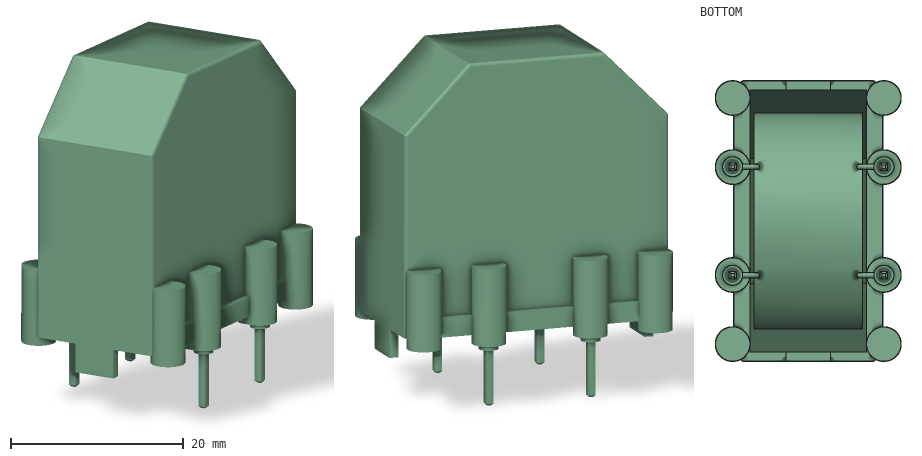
import cadquery as cq


total_height = 40.5
housing_width = 15.65
housing_length = 32.5
housing_height = 32.05
corner_chamfer = 7.95
face_fillet = 0.4
wall = 1.1

post_diameter = 4.0
post_top = 8.15
post_bottom = -1.1
post_x = 8.75
inner_post_y = 6.25
outer_post_y = housing_length / 2 - post_diameter / 2

rail_face_x = 8.63
rail_height = 2.35

foot_width = 5.1
foot_drop = 3.45

lead_diameter = 0.6
terminal_y = 6.28
lead_x = 5.9
lead_bend_radius = 0.32
collar_diameter = 2.3
collar_height = 0.65
pin_side = 0.9
pin_tip_chamfer = 0.25
pin_bottom = housing_height - total_height

ring_outer_diameter = 25.0
ring_inner_diameter = 15.0
ring_width = 12.55
ring_center_z = (housing_height - wall) / 2


def box_between(x_range, y_range, z_range):
    """Axis-aligned box given by its low and high coordinate on each axis."""
    size = [high - low for low, high in (x_range, y_range, z_range)]
    corner = (x_range[0], y_range[0], z_range[0])
    return cq.Workplane("XY").box(*size, centered=False).translate(corner)


def gabled_block(width, length, height):
    """Block standing on Z = 0 whose two upper edges along X are chamfered."""
    block = cq.Workplane("XY").box(width, length, height, centered=(True, True, False))
    return block.edges("|X and >Z").chamfer(corner_chamfer)


def make_shell():
    """Solid outer form of the housing, rounded around its two large faces."""
    block = gabled_block(housing_width, housing_length, housing_height)
    return block.faces("<X or >X").edges("not <Z").fillet(face_fillet)


def make_posts():
    corners = [
        (side * post_x, end * y)
        for side in (-1, 1)
        for end in (-1, 1)
        for y in (inner_post_y, outer_post_y)
    ]
    return (
        cq.Workplane("XY", origin=(0, 0, post_bottom))
        .pushPoints(corners)
        .circle(post_diameter / 2)
        .extrude(post_top - post_bottom)
    )


def make_rails():
    """Bar across the housing whose two ends stand out as the rails."""
    return box_between(
        (-rail_face_x, rail_face_x),
        (-outer_post_y, outer_post_y),
        (0, rail_height),
    )


def make_feet():
    """Downward extensions of the two end walls, as thick as the wall."""
    half_length = housing_length / 2
    half_width = foot_width / 2
    foot = box_between(
        (-half_width, half_width),
        (-half_length, wall - half_length),
        (-foot_drop, wall),
    )
    return foot.union(foot.mirror("XZ"))


def make_housing():
    cavity = gabled_block(
        housing_width - 2 * wall, housing_length - 2 * wall, housing_height - wall
    )
    body = make_shell().union(make_posts()).union(make_rails())
    return body.cut(cavity).union(make_feet())


def make_ring():
    return (
        cq.Workplane("YZ", origin=(-ring_width / 2, 0, ring_center_z))
        .circle(ring_outer_diameter / 2)
        .circle(ring_inner_diameter / 2)
        .extrude(ring_width)
    )


def make_terminal():
    """Square pin, round collar and bent lead on the +X side at Y = 0."""
    collar_bottom = post_bottom - collar_height
    collar = (
        cq.Workplane("XY", origin=(post_x, 0, collar_bottom))
        .circle(collar_diameter / 2)
        .extrude(collar_height)
    )
    pin = (
        cq.Workplane("XY", origin=(post_x, 0, pin_bottom))
        .rect(pin_side, pin_side)
        .extrude(collar_bottom - pin_bottom)
        .faces("<Z")
        .chamfer(pin_tip_chamfer)
    )
    lead_z = post_bottom - collar_height / 2
    lead_top = ring_center_z - ring_inner_diameter / 2
    lead_path = (
        cq.Workplane("XZ")
        .moveTo(post_x, lead_z)
        .lineTo(lead_x + lead_bend_radius, lead_z)
        .tangentArcPoint((lead_x, lead_z + lead_bend_radius), relative=False)
        .lineTo(lead_x, lead_top)
    )
    lead = (
        cq.Workplane("ZY", origin=(post_x, 0, lead_z))
        .circle(lead_diameter / 2)
        .sweep(lead_path)
    )
    return collar.union(pin).union(lead)


def make_coil():
    """Ring core with the four terminals, one under each inner post."""
    coil = make_ring()
    right_terminal = make_terminal()
    for terminal in (right_terminal, right_terminal.mirror("YZ")):
        for y in (-terminal_y, terminal_y):
            coil = coil.union(terminal.translate((0, y, 0)))
    return coil


housing = make_housing()
coil = make_coil()

result = cq.Compound.makeCompound([housing.solids().val(), coil.solids().val()])